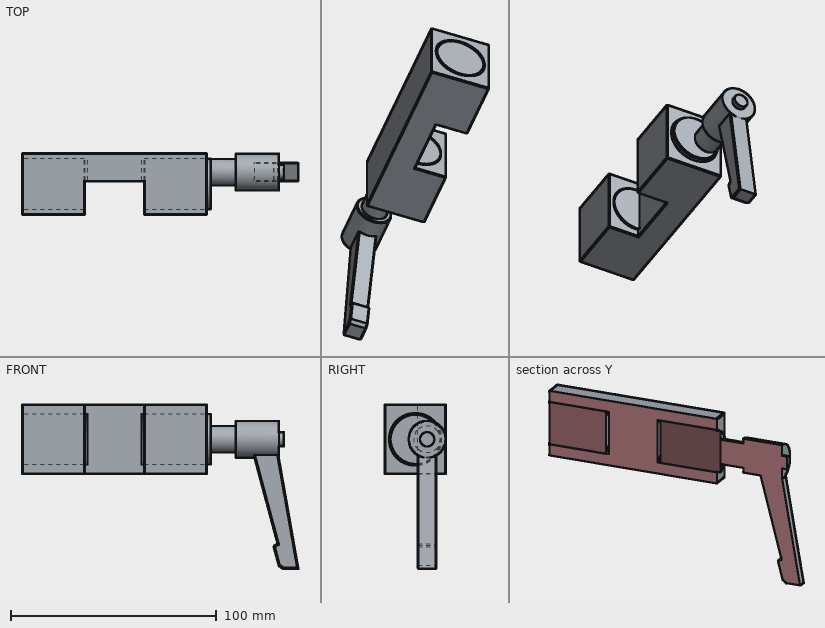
import cadquery as cq
import math


BLOCK_LENGTH = 90.0
SLOT_LENGTH = 28.9
LEG_LENGTH = (BLOCK_LENGTH - SLOT_LENGTH) / 2
SLOT_END = LEG_LENGTH + SLOT_LENGTH
BLOCK_DEPTH = 30.0
BLOCK_HEIGHT = 34.0
SLOT_DEPTH = 16.1
BORE_DIAMETER = 24.7
BORE_OVERRUN = 1.3
BORE_AXIS_Y = BLOCK_DEPTH / 2
EDGE_CHAMFER = 0.4

CLAMP_PROTRUSION = 2.0

LEVER_OFFSET = 5.8
LEVER_AXIS_Y = BORE_AXIS_Y + LEVER_OFFSET
SPINDLE_DIAMETER = 13.0
SPINDLE_START = BLOCK_LENGTH + CLAMP_PROTRUSION
HUB_DIAMETER = 18.0
HUB_START = 103.8
HUB_END = 124.9
BUTTON_DIAMETER = 7.0
BUTTON_END = 127.3

OVERALL_LENGTH = 134.4
OVERALL_HEIGHT = 80.0
ARM_WIDTH = 9.3
ARM_CHAMFER = 0.5
ARM_TIP_X = OVERALL_LENGTH
ARM_TIP_Z = BLOCK_HEIGHT / 2 - OVERALL_HEIGHT
ARM_INNER_X = 110.6
ARM_INNER_ANGLE = 15
ARM_OUTER_ANGLE = 10
GRIP_TOP_Z = -51.0
GRIP_STEP_X = 2.0
GRIP_STEP_Z = 1.0
TIP_CUT_X = 2.0
TIP_CUT_Z = 1.5


def rod(diameter, start, end, axis_y):
    """Cylinder along X between two stations."""
    return (
        cq.Workplane("YZ", origin=(start, axis_y, 0))
        .circle(diameter / 2)
        .extrude(end - start)
    )


def make_block():
    """Bar with a slot in front and a bore along each leg."""
    block = cq.Workplane("XY").box(
        BLOCK_LENGTH, BLOCK_DEPTH, BLOCK_HEIGHT, centered=(False, False, True)
    )
    slot = (
        cq.Workplane("XY", origin=(LEG_LENGTH, 0, 0))
        .box(SLOT_LENGTH, SLOT_DEPTH, BLOCK_HEIGHT, centered=(False, False, True))
    )
    left_bore = rod(BORE_DIAMETER, 0, LEG_LENGTH + BORE_OVERRUN, BORE_AXIS_Y)
    right_bore = rod(BORE_DIAMETER, SLOT_END - BORE_OVERRUN, BLOCK_LENGTH, BORE_AXIS_Y)
    left_corner = cq.selectors.NearestToPointSelector((LEG_LENGTH, SLOT_DEPTH, 0))
    right_corner = cq.selectors.NearestToPointSelector((SLOT_END, SLOT_DEPTH, 0))
    block = block.cut(slot).edges(-(left_corner + right_corner)).chamfer(EDGE_CHAMFER)
    block = block.cut(left_bore).cut(right_bore)
    return block.faces("<X or >X").edges("%CIRCLE").chamfer(EDGE_CHAMFER)


def make_plunger(start, end):
    """Chamfered cylinder that fits a bore."""
    return rod(BORE_DIAMETER, start, end, BORE_AXIS_Y).edges("%CIRCLE").chamfer(EDGE_CHAMFER)


def make_arm():
    """Tapered arm that leans outward, with a stepped grip at its tip."""
    lean = math.tan(math.radians(ARM_INNER_ANGLE))
    notch_x = ARM_INNER_X - GRIP_TOP_Z * lean
    grip_x = notch_x - GRIP_STEP_X
    grip_z = GRIP_TOP_Z - GRIP_STEP_Z
    cut_z = ARM_TIP_Z + TIP_CUT_Z
    cut_x = grip_x + (grip_z - cut_z) * lean
    outer_x = ARM_TIP_X + ARM_TIP_Z * math.tan(math.radians(ARM_OUTER_ANGLE))
    arm = (
        cq.Workplane("XZ", origin=(0, LEVER_AXIS_Y + ARM_WIDTH / 2, 0))
        .polyline([
            (ARM_INNER_X, 0),
            (notch_x, GRIP_TOP_Z),
            (grip_x, grip_z),
            (cut_x, cut_z),
            (cut_x + TIP_CUT_X, ARM_TIP_Z),
            (ARM_TIP_X, ARM_TIP_Z),
            (outer_x, 0),
        ])
        .close()
        .extrude(ARM_WIDTH)
    )
    grip_edge = cq.selectors.NearestToPointSelector((grip_x, LEVER_AXIS_Y, grip_z))
    arm = arm.edges(grip_edge).chamfer(EDGE_CHAMFER)
    return arm.faces("|Y").edges().chamfer(ARM_CHAMFER)


def make_lever():
    """Clamping lever: spindle, hub, end button and arm in one piece."""
    spindle = rod(SPINDLE_DIAMETER, SPINDLE_START, HUB_START, LEVER_AXIS_Y)
    hub = rod(HUB_DIAMETER, HUB_START, HUB_END, LEVER_AXIS_Y).faces("<X").chamfer(EDGE_CHAMFER)
    button = rod(BUTTON_DIAMETER, HUB_END, BUTTON_END, LEVER_AXIS_Y)
    return spindle.union(hub).union(button).union(make_arm())


block = make_block()
fixed_plunger = make_plunger(0, LEG_LENGTH)
clamp_plunger = make_plunger(SLOT_END, BLOCK_LENGTH + CLAMP_PROTRUSION)
lever = make_lever()
result = cq.Compound.makeCompound([
    block.val(), fixed_plunger.val(), clamp_plunger.val(), lever.val(),
])